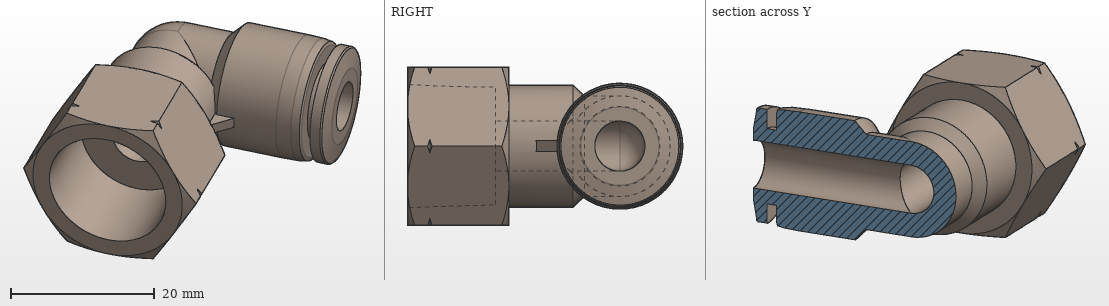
import cadquery as cq
import math


elbow_radius = 7.0
collar_radius = 8.5
collar_cone_start = 4.9
collar_cone_end = 6.5
passage_radius = 3.48

socket_radius = 8.75
socket_mid_radius = 8.7
socket_lip_radius = 8.5
socket_cone_start = elbow_radius
socket_cone_end = socket_cone_start + socket_radius - elbow_radius
socket_taper_start = 17.48
socket_mid = 19.65
socket_lip_edge = 20.85
socket_end = 21.0
socket_face_radius = 8.0

ring_neck_radius = 5.55
ring_radius = 8.38
ring_start = 22.38
ring_rim_end = 23.83
ring_end = 24.55
ring_bevel_end = 24.05
ring_bevel_radius = 8.2
ring_face_radius = 5.45

overall_length = 38.25
across_flats = 22.0
nut_length = 14.08
corner_radius = across_flats / math.sqrt(3)
nut_bottom = overall_length - socket_radius
nut_top = nut_bottom - nut_length
chamfer_radius = across_flats / 2
chamfer_angle = 30
chamfer_height = (corner_radius - chamfer_radius) * math.tan(math.radians(chamfer_angle))
notch_offset = 3.1
notch_depth = 0.5
notch_half_width = 0.3

bore_mouth_radius = 8.55
bore_depth = 12.25
thread_taper = 1 / 16
bore_floor_radius = bore_mouth_radius - bore_depth * thread_taper / 2

rib_thickness = 1.53
rib_reach = 20.1
rib_root = 5.75


def revolve_about_x(points):
    """Revolve (x, radius) points around the X axis."""
    return cq.Workplane("XY").polyline(points).close().revolve(360, (0, 0), (1, 0))


def revolve_about_y(points):
    """Revolve (radius, distance toward -Y) points around the Y axis."""
    outline = [(radius, -distance) for radius, distance in points]
    return cq.Workplane("XY").polyline(outline).close().revolve(360, (0, 0), (0, 1))


def make_elbow_pipe(radius, reach_x, reach_y):
    """Two crossing cylinders closed by a ball at the corner."""
    along_x = cq.Workplane("YZ").circle(radius).extrude(reach_x)
    along_y = cq.Workplane("XZ").circle(radius).extrude(reach_y)
    return along_x.union(along_y).union(cq.Workplane("XY").sphere(radius))


def make_collar():
    return revolve_about_y([
        (0, collar_cone_start),
        (elbow_radius, collar_cone_start),
        (collar_radius, collar_cone_end),
        (collar_radius, nut_top),
        (0, nut_top),
    ])


def make_socket():
    return revolve_about_x([
        (socket_cone_start, 0),
        (socket_cone_start, elbow_radius),
        (socket_cone_end, socket_radius),
        (socket_taper_start, socket_radius),
        (socket_mid, socket_mid_radius),
        (socket_lip_edge, socket_lip_radius),
        (socket_end, socket_face_radius),
        (socket_end, 0),
    ])


def make_release_ring():
    return revolve_about_x([
        (socket_end, 0),
        (socket_end, ring_neck_radius),
        (ring_start, ring_neck_radius),
        (ring_start, ring_radius),
        (ring_rim_end, ring_radius),
        (ring_bevel_end, ring_bevel_radius),
        (ring_end, ring_face_radius),
        (ring_end, 0),
    ])


def make_nut():
    hexagon = (
        cq.Workplane("XZ", origin=(0, -nut_top, 0))
        .polygon(6, 2 * corner_radius)
        .extrude(nut_length)
    )
    notch_center = nut_bottom - notch_offset
    envelope = revolve_about_y([
        (0, nut_top),
        (chamfer_radius, nut_top),
        (corner_radius, nut_top + chamfer_height),
        (corner_radius, notch_center - notch_half_width),
        (corner_radius - notch_depth, notch_center),
        (corner_radius, notch_center + notch_half_width),
        (corner_radius, nut_bottom - chamfer_height),
        (chamfer_radius, nut_bottom),
        (0, nut_bottom),
    ])
    return hexagon.intersect(envelope)


def make_rib():
    corner = rib_reach - rib_root
    return (
        cq.Workplane("XY")
        .polyline([(rib_root, -rib_root), (corner, -rib_root), (rib_root, -corner)])
        .close()
        .extrude(rib_thickness / 2, both=True)
    )


def make_thread_bore():
    floor = nut_bottom - bore_depth
    return revolve_about_y([
        (0, floor),
        (bore_floor_radius, floor),
        (bore_mouth_radius, nut_bottom),
        (0, nut_bottom),
    ])


body = make_elbow_pipe(elbow_radius, socket_cone_start, collar_cone_start)
for piece in (make_collar(), make_socket(), make_release_ring(), make_nut(), make_rib()):
    body = body.union(piece)

result = body.cut(make_thread_bore()).cut(make_elbow_pipe(passage_radius, ring_end, nut_bottom))